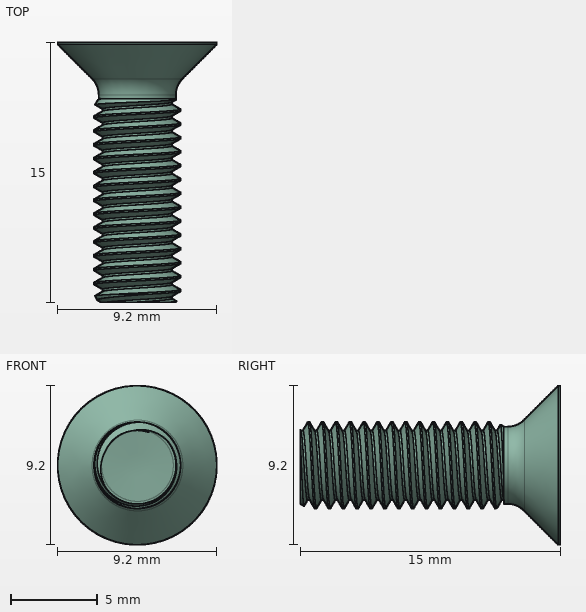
import cadquery as cq
import math

length = 15.0

head_diameter = 9.2
head_radius = head_diameter / 2
rim_height = 0.12
head_angle = math.radians(45)
neck_radius = 2.24
fillet_radius = 1.32

thread_start = 3.25
thread_diameter = length / 3
thread_radius = thread_diameter / 2
pitch = 0.16 * thread_diameter
flank_angle = math.radians(30)
crest_flat = pitch / 8
root_flat = pitch / 6
thread_depth = (pitch - crest_flat - root_flat) / 2 / math.tan(flank_angle)
root_radius = thread_radius - thread_depth
groove_rise_at_tip = 0.28
taper_angle = math.radians(30)

dish_radius = 2.07
dish_depth = 0.1


def revolve_about_axis(outline):
    return outline.close().revolve(360, (0, 0, 0), (0, 1, 0))


def make_head_and_neck():
    """Rim, countersunk cone and a neck joined to the cone by a tangent fillet."""

    def fillet_point(angle):
        radius = neck_radius + fillet_radius * (1 - math.cos(angle))
        return radius, fillet_end + fillet_radius * math.sin(angle)

    cone_end_radius = neck_radius + fillet_radius * (1 - math.cos(head_angle))
    cone_end = -rim_height - (head_radius - cone_end_radius) / math.tan(head_angle)
    fillet_end = cone_end - fillet_radius * math.sin(head_angle)
    return revolve_about_axis(
        cq.Workplane("XY")
        .lineTo(head_radius, 0)
        .lineTo(head_radius, -rim_height)
        .lineTo(cone_end_radius, cone_end)
        .threePointArc(fillet_point(head_angle / 2), (neck_radius, fillet_end))
        .lineTo(neck_radius, -thread_start)
        .lineTo(0, -thread_start)
    )


def make_shank_envelope():
    """Shank as it would be without the groove: tapered at both ends, dished at the tip."""
    taper_length = (thread_radius - neck_radius) / math.tan(taper_angle)
    return revolve_about_axis(
        cq.Workplane("XY")
        .moveTo(0, -thread_start)
        .lineTo(neck_radius, -thread_start)
        .lineTo(thread_radius, -thread_start - taper_length)
        .lineTo(thread_radius, -length + taper_length)
        .lineTo(neck_radius, -length)
        .lineTo(dish_radius, -length)
        .lineTo(0, -length + dish_depth)
    )


def make_groove(run):
    """Right-hand helical groove around Z, starting at Z = 0 on the +X side."""
    mouth_overshoot = 0.09
    mouth_radius = thread_radius + mouth_overshoot
    half_root = root_flat / 2
    half_mouth = half_root + (mouth_radius - root_radius) * math.tan(flank_angle)
    section = [
        (root_radius, -half_root),
        (mouth_radius, -half_mouth),
        (mouth_radius, half_mouth),
        (root_radius, half_root),
    ]
    helices = [cq.Wire.makeHelix(pitch, run, r, center=cq.Vector(0, 0, z)) for r, z in section]
    faces = []
    for helix, next_helix in zip(helices, helices[1:] + helices[:1]):
        faces.extend(cq.Face.makeRuledSurface(helix, next_helix).Faces())

    corners = [cq.Vector(r, 0, z) for r, z in section]
    start_cap = cq.Face.makeFromWires(cq.Wire.makePolygon(corners, close=True))
    end_turn = 360 * run / pitch
    end_cap = start_cap.rotate(cq.Vector(0, 0, 0), cq.Vector(0, 0, 1), end_turn)
    faces.append(start_cap)
    faces.append(end_cap.translate(cq.Vector(0, 0, run)))
    return cq.Workplane(cq.Solid.makeSolid(cq.Shell.makeShell(faces)))


def make_threaded_shank():
    """Threaded rod, longer than the shank at both ends, trimmed to the shank envelope."""
    spare = 2 * pitch
    rod_length = length + 2 * spare
    groove_run = length - thread_start + 2 * spare
    rod = cq.Workplane("XY").circle(thread_radius).extrude(rod_length)
    threaded_rod = rod.translate((0, 0, -spare)).cut(make_groove(groove_run))
    turn = -360 * groove_rise_at_tip / pitch
    placed_rod = (
        threaded_rod
        .rotate((0, 0, 0), (0, 0, 1), turn)
        .rotate((0, 0, 0), (1, 0, 0), -90)
        .translate((0, -length - spare, 0))
    )
    return make_shank_envelope().intersect(placed_rod)


result = make_head_and_neck().union(make_threaded_shank())